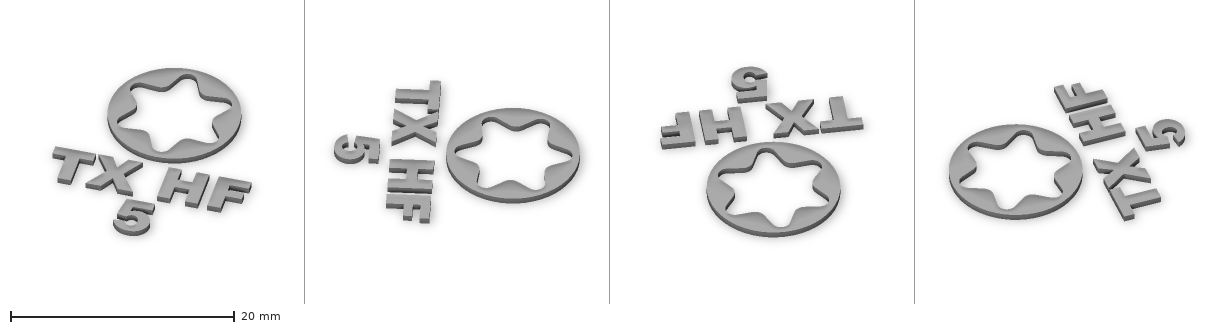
import cadquery as cq
import math

thickness = 0.6

ring_diameter = 12.0
lobe_count = 6
lobe_reach = 5.3
valley_reach = 3.53
lobe_radius = 0.85
valley_radius = 1.0
opening_shift = 0.05

letter_height = 4.0
letter_row_bottom = -11.0
digit_top = -12.0

t_left = -9.18
t_width = 3.8
t_stem_width = 1.25
t_bar_height = 1.0

x_crossing = -3.1
x_waist_height = 2.07
x_waist_half_width = 0.77
x_top_outer = 2.07
x_top_inner = 0.7
x_bottom_outer = 2.2
x_bottom_inner = 0.77
x_notch_depth = 1.28

h_left = 1.37
h_width = 3.77
h_stem_width = 1.2
h_bar_bottom = 1.61
h_bar_top = 2.6

f_left = 6.03
f_width = 3.05
f_stem_width = 1.25
f_top_bar_height = 0.88
f_middle_bar_width = 2.78
f_middle_bar_bottom = 1.61
f_middle_bar_top = 2.43


def polar(radius, angle):
    return radius * math.cos(angle), radius * math.sin(angle)


def offset_polar(center, radius, angle):
    x, y = polar(radius, angle)
    return center[0] + x, center[1] + y


def extrude_polygon(points, origin):
    return cq.Workplane("XY", origin=origin).polyline(points).close().extrude(thickness)


def make_lobed_opening():
    """Alternating lobe and valley arcs joined by straight tangent flanks."""
    half_pitch = math.pi / lobe_count
    lobe_center_reach = lobe_reach - lobe_radius
    valley_center_reach = valley_reach + valley_radius

    valley_x, valley_y = polar(valley_center_reach, half_pitch)
    span_x = valley_x - lobe_center_reach
    span = math.hypot(span_x, valley_y)
    flank_normal = math.atan2(valley_y, span_x) - math.acos((lobe_radius + valley_radius) / span)

    def flank_ends(axis, side):
        lobe_center = polar(lobe_center_reach, axis)
        valley_center = polar(valley_center_reach, axis + side * half_pitch)
        normal = axis + side * flank_normal
        lobe_end = offset_polar(lobe_center, lobe_radius, normal)
        valley_end = offset_polar(valley_center, -valley_radius, normal)
        return lobe_end, valley_end

    first_axis = math.pi / 2
    start = flank_ends(first_axis, -1)[1]
    outline = cq.Workplane("XY", origin=(0, opening_shift, 0)).moveTo(*start)
    for index in range(lobe_count):
        axis = first_axis + index * 2 * half_pitch
        lobe_start = flank_ends(axis, -1)[0]
        lobe_end, valley_start = flank_ends(axis, 1)
        valley_end = flank_ends(axis + 2 * half_pitch, -1)[1]
        outline = outline.lineTo(*lobe_start)
        outline = outline.threePointArc(polar(lobe_reach, axis), lobe_end)
        outline = outline.lineTo(*valley_start)
        outline = outline.threePointArc(polar(valley_reach, axis + half_pitch), valley_end)
    return outline.close().extrude(thickness)


def make_ring():
    disc = cq.Workplane("XY").circle(ring_diameter / 2).extrude(thickness)
    return disc.cut(make_lobed_opening())


def make_letter_t():
    stem_left = (t_width - t_stem_width) / 2
    stem_right = stem_left + t_stem_width
    bar_bottom = letter_height - t_bar_height
    points = [
        (stem_left, 0), (stem_right, 0), (stem_right, bar_bottom), (t_width, bar_bottom),
        (t_width, letter_height), (0, letter_height), (0, bar_bottom), (stem_left, bar_bottom),
    ]
    return extrude_polygon(points, (t_left, letter_row_bottom, 0))


def make_letter_x():
    right_side = [
        (x_bottom_inner, 0), (x_bottom_outer, 0), (x_waist_half_width, x_waist_height),
        (x_top_outer, letter_height), (x_top_inner, letter_height),
    ]
    left_side = [(-x, y) for x, y in reversed(right_side)]
    bottom_notch = (0, x_notch_depth)
    top_notch = (0, letter_height - x_notch_depth)
    points = [bottom_notch, *right_side, top_notch, *left_side]
    return extrude_polygon(points, (x_crossing, letter_row_bottom, 0))


def make_letter_h():
    right_stem = h_width - h_stem_width
    points = [
        (0, 0), (h_stem_width, 0), (h_stem_width, h_bar_bottom), (right_stem, h_bar_bottom),
        (right_stem, 0), (h_width, 0), (h_width, letter_height), (right_stem, letter_height),
        (right_stem, h_bar_top), (h_stem_width, h_bar_top),
        (h_stem_width, letter_height), (0, letter_height),
    ]
    return extrude_polygon(points, (h_left, letter_row_bottom, 0))


def make_letter_f():
    top_bar_bottom = letter_height - f_top_bar_height
    points = [
        (0, 0), (f_stem_width, 0), (f_stem_width, f_middle_bar_bottom),
        (f_middle_bar_width, f_middle_bar_bottom), (f_middle_bar_width, f_middle_bar_top),
        (f_stem_width, f_middle_bar_top), (f_stem_width, top_bar_bottom),
        (f_width, top_bar_bottom), (f_width, letter_height), (0, letter_height),
    ]
    return extrude_polygon(points, (f_left, letter_row_bottom, 0))


def make_digit_5():
    """Numeral with an open bowl; Y = 0 is the top edge of the digit."""
    flag_left = (-1.2, 0)
    flag_right = (1.45, 0)
    flag_lower_right = (1.45, -0.9)
    flag_inner = (-0.35, -0.9)
    bowl_start = (-0.45, -1.5)
    bowl_shoulder = (-0.05, -1.35)
    bowl_crest = (0.4, -1.3)
    bowl_upper_right = (1.28, -1.7)
    bowl_right = (1.65, -2.63)
    bowl_lower_right = (1.17, -3.66)
    bowl_bottom_right = (0.15, -4.05)
    bowl_bottom_left = (-0.07, -4.05)
    bowl_lower_left = (-1.08, -3.73)
    tail_outer = (-1.65, -2.98)
    tail_inner = (-0.57, -2.82)
    counter_lower_left = (-0.38, -3.22)
    counter_bottom = (0, -3.38)
    counter_lower_right = (0.38, -3.15)
    counter_right = (0.53, -2.63)
    counter_upper_right = (0.38, -2.18)
    counter_top = (0, -1.99)
    counter_upper_left = (-0.33, -2.05)
    counter_start = (-0.57, -2.3)
    stem_lower_left = (-1.52, -2.16)

    outline = (
        cq.Workplane("XY", origin=(0, digit_top, 0))
        .moveTo(*flag_left)
        .lineTo(*flag_right)
        .lineTo(*flag_lower_right)
        .lineTo(*flag_inner)
        .lineTo(*bowl_start)
        .threePointArc(bowl_shoulder, bowl_crest)
        .threePointArc(bowl_upper_right, bowl_right)
        .threePointArc(bowl_lower_right, bowl_bottom_right)
        .lineTo(*bowl_bottom_left)
        .threePointArc(bowl_lower_left, tail_outer)
        .lineTo(*tail_inner)
        .threePointArc(counter_lower_left, counter_bottom)
        .threePointArc(counter_lower_right, counter_right)
        .threePointArc(counter_upper_right, counter_top)
        .threePointArc(counter_upper_left, counter_start)
        .lineTo(*stem_lower_left)
        .close()
    )
    return outline.extrude(thickness)


ring = make_ring()
letter_t = make_letter_t()
letter_x = make_letter_x()
letter_h = make_letter_h()
letter_f = make_letter_f()
digit_5 = make_digit_5()

result = cq.Compound.makeCompound([
    ring.val(),
    letter_t.val(),
    letter_x.val(),
    letter_h.val(),
    letter_f.val(),
    digit_5.val(),
])